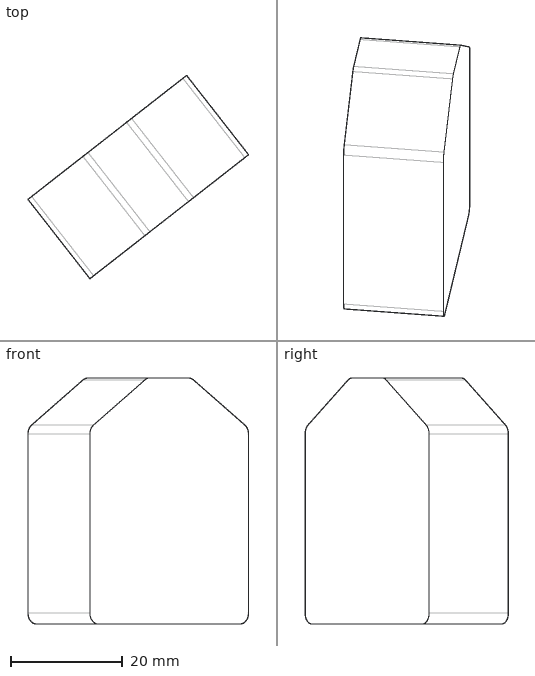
import cadquery as cq

width = 36.0
thickness = 18.0
height = 44.0
shoulder_height = 35.0
top_width = 10.0
edge_radius = 2.0
turn_about_z = 38.0


def house_outline():
    """Block outline in the XZ plane: straight sides, sloped shoulders and a flat top."""
    half_width = width / 2
    half_top = top_width / 2
    return (
        cq.Workplane("XZ")
        .moveTo(-half_width, 0)
        .lineTo(half_width, 0)
        .lineTo(half_width, shoulder_height)
        .lineTo(half_top, height)
        .lineTo(-half_top, height)
        .lineTo(-half_width, shoulder_height)
        .close()
    )


def rounded_block():
    """Outline extruded equally to both sides of XZ, with every outline corner rounded."""
    block = house_outline().extrude(thickness / 2, both=True)
    return block.edges("|Y").fillet(edge_radius)


result = rounded_block().rotate((0, 0, 0), (0, 0, 1), turn_about_z)